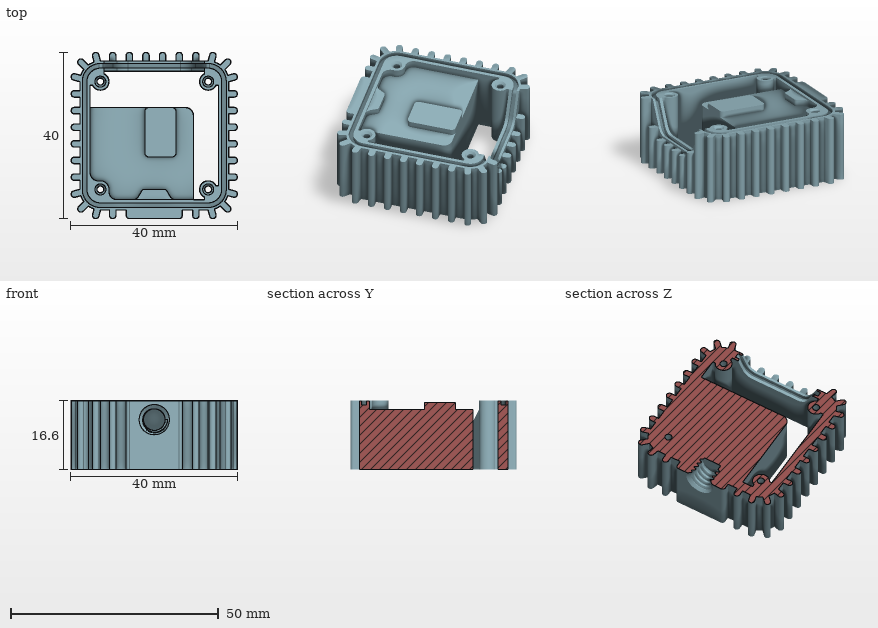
import cadquery as cq
import math

overall = 40.0
height = 16.6
wall_outer = 17.9
wall_inner = 15.45
groove_outer = 17.3
groove_inner = 16.2
groove_depth = 1.0
post_center = 12.95

fin_width = 1.6
fin_pitch = 4.0
fins_per_side = 6
corner_fin_tip = 17.65
side_fin_offset = 14.1
fin_lean = 15.0
fin_radius = fin_width / 2
fin_tip = overall / 2 - fin_radius
fin_root = (wall_outer + wall_inner) / 2

post_radius = 2.1
post_web_edge = 12.05
screw_diameter = 1.6
screw_mouth_diameter = 2.65
deck_blend_radius = 2.0

deck_height = 14.5
deck_right = 9.45
deck_back = 6.75
deck_corner_radius = 2.0
raised_height = 16.1
pad_length_x = 7.5
pad_length_y = 11.9
pad_center_x = 1.5
pad_corner_radius = 1.0

port_block_half_width = 6.75
port_block_edge_radius = 0.8
port_height = 12.0
port_depth = 6.0
port_minor_diameter = 5.2
port_major_diameter = 6.4
port_mouth_diameter = 7.3
thread_pitch = 1.3
thread_flank_angle = 30.0
thread_crest_width = 0.15
boss_half_width = 2.8
boss_end = -12.9
boss_flank_angle = 60.0
boss_foot_radius = 1.6
boss_corner_radius = 0.8

notch_depth = 7.75
notch_bottom_half_width = 8.15
notch_top_half_width = 12.05
notch_bottom_radius = 3.0
groove_entry_radius = 1.0
low_fin_height = 8.35
slope_fin_height = 10.4

overlap = 0.4


def rounded_square(half_width, z_bottom, z_top):
    """Square prism whose corner arcs are centered on the screw axes."""
    return (
        cq.Workplane("XY", origin=(0, 0, z_bottom))
        .rect(2 * half_width, 2 * half_width)
        .extrude(z_top - z_bottom)
        .edges("|Z")
        .fillet(half_width - post_center)
    )


def box_between(x_range, y_range, z_range):
    """Box given by its lower and upper limit along each axis."""
    lengths = [upper - lower for lower, upper in (x_range, y_range, z_range)]
    lower_corner = (x_range[0], y_range[0], z_range[0])
    return cq.Workplane("XY").box(*lengths, centered=False).translate(lower_corner)


def fin(tip_x, tip_y, angle, top=height):
    """Round-tipped fin reaching inward from its tip center; angle is its outward heading."""
    inward = math.radians(angle + 180)
    length = (fin_tip - fin_root) / max(abs(math.cos(inward)), abs(math.sin(inward)))
    middle_x = tip_x + length / 2 * math.cos(inward)
    middle_y = tip_y + length / 2 * math.sin(inward)
    return (
        cq.Workplane("XY")
        .center(middle_x, middle_y)
        .slot2D(length + fin_width, fin_width, angle)
        .extrude(top)
    )


def side_fin_positions():
    middle = (fins_per_side - 1) / 2
    return [(index - middle) * fin_pitch for index in range(fins_per_side)]


def add_fins(body):
    for position in side_fin_positions():
        body = body.union(fin(fin_tip, position, 0))
        body = body.union(fin(-fin_tip, position, 180))
        on_slope = abs(position) > notch_bottom_half_width
        back_top = slope_fin_height if on_slope else low_fin_height
        body = body.union(fin(position, fin_tip, 90, back_top))
        if abs(position) > port_block_half_width:
            body = body.union(fin(position, -fin_tip, 270))
    for quarter in range(4):
        turn = 90 * quarter
        corner_fins = (
            fin(corner_fin_tip, corner_fin_tip, 45)
            .union(fin(fin_tip, side_fin_offset, fin_lean))
            .union(fin(side_fin_offset, fin_tip, 90 - fin_lean))
        )
        body = body.union(corner_fins.rotate((0, 0, 0), (0, 0, 1), turn))
    return body


def port_block():
    half = port_block_half_width
    block = box_between((-half, half), (-overall / 2, -fin_root), (0, height))
    return block.edges("|Z and <Y").fillet(port_block_edge_radius)


def post(sign_x, sign_y):
    """Round screw post with a square web filling the cavity corner behind it."""
    web_size = wall_inner + overlap - post_web_edge
    web_center = post_web_edge + web_size / 2
    web = (
        cq.Workplane("XY")
        .center(sign_x * web_center, sign_y * web_center)
        .rect(web_size, web_size)
        .extrude(height)
    )
    column = (
        cq.Workplane("XY")
        .center(sign_x * post_center, sign_y * post_center)
        .circle(post_radius)
        .extrude(height)
    )
    return column.union(web)


def post_blend():
    """Fill above the deck that blends the -X -Y post smoothly into both walls."""
    radius = deck_blend_radius
    reach = post_radius + radius
    across = wall_inner - radius - post_center
    along = math.sqrt(reach**2 - across**2)
    near = -post_center - across
    far = -post_center + along
    touch_x = -post_center - across * post_radius / reach
    touch_y = -post_center + along * post_radius / reach
    wall_angle = math.pi
    post_angle = math.atan2(touch_y - far, touch_x - near) % (2 * math.pi)
    middle_angle = (wall_angle + post_angle) / 2
    middle_x = near + radius * math.cos(middle_angle)
    middle_y = far + radius * math.sin(middle_angle)
    crown = -post_center + post_radius / math.sqrt(2)
    return (
        cq.Workplane("XY")
        .moveTo(-wall_inner, far)
        .threePointArc((middle_x, middle_y), (touch_x, touch_y))
        .threePointArc((crown, crown), (touch_y, touch_x))
        .threePointArc((middle_y, middle_x), (far, -wall_inner))
        .lineTo(far, -groove_inner)
        .lineTo(-post_center, -groove_inner)
        .lineTo(-groove_inner, -post_center)
        .lineTo(-groove_inner, far)
        .close()
        .extrude(height)
    )


def deck():
    reach = -wall_inner - overlap
    block = box_between((reach, deck_right), (reach, deck_back), (0, deck_height))
    return block.edges("|Z and >X and >Y").fillet(deck_corner_radius)


def chip_pad():
    y_range = (deck_back - pad_length_y, deck_back)
    x_range = (pad_center_x - pad_length_x / 2, pad_center_x + pad_length_x / 2)
    pad = box_between(x_range, y_range, (deck_height - overlap, raised_height))
    return pad.edges("|Z").fillet(pad_corner_radius)


def thread_boss():
    """Boss behind the port, flaring into the -Y wall."""
    flank_run = (boss_end + wall_inner) / math.tan(math.radians(boss_flank_angle))
    foot = boss_half_width + flank_run
    base = foot + 2 * boss_foot_radius
    boss = (
        cq.Workplane("XY")
        .polyline([
            (-base, -groove_inner),
            (-base, -wall_inner),
            (-foot, -wall_inner),
            (-boss_half_width, boss_end),
            (boss_half_width, boss_end),
            (foot, -wall_inner),
            (base, -wall_inner),
            (base, -groove_inner),
        ])
        .close()
        .extrude(raised_height)
    )
    feet = cq.selectors.BoxSelector(
        (-foot - overlap, -wall_inner - overlap, 0),
        (foot + overlap, -wall_inner + overlap, raised_height),
    )
    boss = boss.edges("|Z and >Y").fillet(boss_corner_radius)
    return boss.edges("|Z").edges(feet).fillet(boss_foot_radius)


def notch_cutter(offset, y_start, y_end):
    """Trapezoid notch moved outward by an offset; it opens through the top."""
    slope = math.atan2(notch_depth, notch_top_half_width - notch_bottom_half_width)
    floor = height - notch_depth - offset
    bottom = notch_bottom_half_width + offset * math.tan(slope / 2)
    shoulder = height - offset
    top = bottom + notch_depth / math.tan(slope)
    side = top + groove_entry_radius
    profile = [(-bottom, floor), (bottom, floor), (top, shoulder)]
    if offset > 0:
        profile += [(side, shoulder), (side, height), (-side, height), (-side, shoulder)]
    profile.append((-top, shoulder))
    cutter = (
        cq.Workplane("XZ", origin=(0, y_end, 0))
        .polyline(profile)
        .close()
        .extrude(y_end - y_start)
    )
    cutter = cutter.edges("|Y and <Z").fillet(notch_bottom_radius + offset)
    if offset > 0:
        limit = side - groove_entry_radius / 2
        entry = cq.selectors.BoxSelector(
            (-limit, y_start - overlap, shoulder - overlap),
            (limit, y_end + overlap, shoulder + overlap),
        )
        cutter = cutter.edges("|Y").edges(entry).fillet(groove_entry_radius)
    return cutter


def seal_groove():
    """Groove around the rim that dips along the notch on the +Y side."""
    floor = height - groove_depth
    ring = rounded_square(groove_outer, floor, height)
    ring = ring.cut(rounded_square(groove_inner, floor, height))
    return ring.union(notch_cutter(groove_depth, groove_inner, groove_outer))


def screw_hole(x, y):
    cone_depth = (screw_mouth_diameter - screw_diameter) / 2
    return (
        cq.Workplane("XZ")
        .polyline([
            (0, 0),
            (screw_diameter / 2, 0),
            (screw_diameter / 2, height - cone_depth),
            (screw_mouth_diameter / 2, height),
            (0, height),
        ])
        .close()
        .revolve(360, (0, 0), (0, 1))
        .translate((x, y, 0))
    )


def threaded_port():
    """Blind bore with a conical mouth and a helical thread groove, along +Y."""
    minor = port_minor_diameter / 2
    major = port_major_diameter / 2
    mouth = port_mouth_diameter / 2
    bore = (
        cq.Workplane("XY")
        .polyline([(0, 0), (mouth, 0), (minor, mouth - minor), (minor, port_depth), (0, port_depth)])
        .close()
        .revolve(360, (0, 0), (0, 1))
        .rotate((0, 0, 0), (1, 0, 0), 90)
    )
    root = minor - thread_crest_width
    crest_half = thread_crest_width / 2
    root_half = crest_half + (major - root) * math.tan(math.radians(thread_flank_angle))
    thread_length = port_depth - 2 * root_half
    helix = cq.Wire.makeHelix(thread_pitch, thread_length, minor)
    groove = (
        cq.Workplane("XZ")
        .polyline([(root, -root_half), (major, -crest_half), (major, crest_half), (root, root_half)])
        .close()
        .sweep(cq.Workplane(obj=helix), isFrenet=True)
        .translate((0, 0, root_half))
    )
    cutter = bore.union(groove)
    return cutter.rotate((0, 0, 0), (1, 0, 0), -90).translate((0, -overall / 2, port_height))


corners = [(sign_x, sign_y) for sign_x in (-1, 1) for sign_y in (-1, 1)]

result = add_fins(rounded_square(wall_outer, 0, height))
result = result.union(port_block())
result = result.cut(cq.Workplane("XY").rect(2 * wall_inner, 2 * wall_inner).extrude(height))
for sign_x, sign_y in corners:
    result = result.union(post(sign_x, sign_y))
for feature in (post_blend(), deck(), chip_pad(), thread_boss()):
    result = result.union(feature)
result = result.cut(notch_cutter(0, wall_inner, overall / 2))
result = result.cut(seal_groove())
for sign_x, sign_y in corners:
    result = result.cut(screw_hole(sign_x * post_center, sign_y * post_center))
result = result.cut(threaded_port())